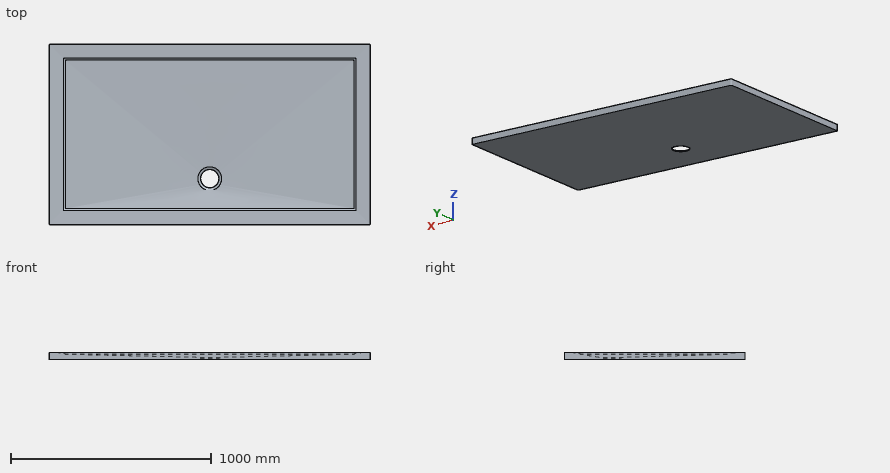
import cadquery as cq
import math

LENGTH = 1600.0
WIDTH = 900.0
HEIGHT = 35.0
EDGE_FILLET = 3.0
BODY_CORNER_RADIUS = 4.5

RIM_INSET = 70.0
RIM_DROP = 2.0
WALL_RUN = 10.0
WALL_DROP = 7.0
RECESS_CORNER_RADIUS = 4.0

FLOOR_FALL = 15.0
SIDE_CREASE_Y = -50.0

DRAIN_Y = -220.0
DRAIN_SEAT_DIAMETER = 118.0
DRAIN_HOLE_DIAMETER = 90.0
DRAIN_SEAT_DEPTH = 6.0

CREASE_ANGLE = 33.0
CORNER_SPREAD = 0.4

FLOOR_INSET = RIM_INSET + WALL_RUN
RIM_INNER_Z = HEIGHT - RIM_DROP
FLOOR_EDGE_Z = RIM_INNER_Z - WALL_DROP
SEAT_TOP_Z = FLOOR_EDGE_Z - FLOOR_FALL
SEAT_BOTTOM_Z = SEAT_TOP_Z - DRAIN_SEAT_DEPTH


def make_body():
    """Plain slab with its upright corners and top edges rounded."""
    slab = cq.Workplane("XY").box(LENGTH, WIDTH, HEIGHT, centered=(True, True, False))
    return slab.edges("|Z").fillet(BODY_CORNER_RADIUS).faces(">Z").edges().fillet(EDGE_FILLET)


def make_outline(inset, z, corner_radius):
    """Rounded rectangle inset from the outer sides, at height z."""
    block = (
        cq.Workplane("XY", origin=(0, 0, z))
        .rect(LENGTH - 2 * inset, WIDTH - 2 * inset)
        .extrude(HEIGHT)
    )
    return block.edges("|Z").fillet(corner_radius).faces("<Z").wires().val()


def make_tapered_recess(top_outline, bottom_outline):
    """Recess tapering straight from one outline to the other."""
    return cq.Workplane(cq.Solid.makeLoft([top_outline, bottom_outline], True))


def drain_point(angle):
    """Point on the upper circle of the drain seat, angle in degrees."""
    radius = DRAIN_SEAT_DIAMETER / 2
    x = radius * math.cos(math.radians(angle))
    y = DRAIN_Y + radius * math.sin(math.radians(angle))
    return cq.Vector(x, y, SEAT_TOP_Z)


def make_drain_arc(start_angle, end_angle):
    """Stretch of the upper circle of the drain seat."""
    return cq.Edge.makeThreePointArc(
        drain_point(start_angle),
        drain_point((start_angle + end_angle) / 2),
        drain_point(end_angle),
    )


def make_corner_arc(x_sign, y_sign):
    """Rounded corner of the floor outline, running counterclockwise."""
    center_x = x_sign * (LENGTH / 2 - FLOOR_INSET - RECESS_CORNER_RADIUS)
    center_y = y_sign * (WIDTH / 2 - FLOOR_INSET - RECESS_CORNER_RADIUS)
    diagonal = RECESS_CORNER_RADIUS * math.sqrt(0.5)
    on_x_side = cq.Vector(center_x + x_sign * RECESS_CORNER_RADIUS, center_y, FLOOR_EDGE_Z)
    middle = cq.Vector(center_x + x_sign * diagonal, center_y + y_sign * diagonal, FLOOR_EDGE_Z)
    on_y_side = cq.Vector(center_x, center_y + y_sign * RECESS_CORNER_RADIUS, FLOOR_EDGE_Z)
    if x_sign == y_sign:
        return cq.Edge.makeThreePointArc(on_x_side, middle, on_y_side)
    return cq.Edge.makeThreePointArc(on_y_side, middle, on_x_side)


def make_floor_recess():
    """Recess whose ruled sides run from the floor outline down to the drain circle."""
    half_x = LENGTH / 2 - FLOOR_INSET
    right_side_point = cq.Vector(half_x, SIDE_CREASE_Y, FLOOR_EDGE_Z)
    left_side_point = cq.Vector(-half_x, SIDE_CREASE_Y, FLOOR_EDGE_Z)
    corners = [make_corner_arc(*signs) for signs in ((1, 1), (-1, 1), (-1, -1), (1, -1))]
    back_right, back_left, front_left, front_right = corners
    outline = [
        cq.Edge.makeLine(right_side_point, back_right.startPoint()),
        back_right,
        cq.Edge.makeLine(back_right.endPoint(), back_left.startPoint()),
        back_left,
        cq.Edge.makeLine(back_left.endPoint(), left_side_point),
        cq.Edge.makeLine(left_side_point, front_left.startPoint()),
        front_left,
        cq.Edge.makeLine(front_left.endPoint(), front_right.startPoint()),
        front_right,
        cq.Edge.makeLine(front_right.endPoint(), right_side_point),
    ]
    inner = CREASE_ANGLE - CORNER_SPREAD / 2
    outer = CREASE_ANGLE + CORNER_SPREAD / 2
    angles = [0, inner, outer, 180 - outer, 180 - inner, 180]
    angles += [180 + inner, 180 + outer, 360 - outer, 360 - inner, 360]
    circle = [make_drain_arc(start, end) for start, end in zip(angles, angles[1:])]

    faces = [cq.Face.makeRuledSurface(side, arc) for side, arc in zip(outline, circle)]
    faces.append(cq.Face.makeFromWires(cq.Wire.assembleEdges(outline)))
    faces.append(cq.Face.makeFromWires(cq.Wire.assembleEdges(circle)))
    return cq.Workplane(cq.Solid.makeSolid(cq.Shell.makeShell(faces)))


def make_drain():
    """Conical seat opening upward, with the waste hole through the bottom."""
    seat = cq.Solid.makeCone(
        DRAIN_HOLE_DIAMETER / 2,
        DRAIN_SEAT_DIAMETER / 2,
        DRAIN_SEAT_DEPTH,
        cq.Vector(0, DRAIN_Y, SEAT_BOTTOM_Z),
    )
    hole = cq.Solid.makeCylinder(DRAIN_HOLE_DIAMETER / 2, SEAT_BOTTOM_Z, cq.Vector(0, DRAIN_Y, 0))
    return cq.Workplane(seat).union(cq.Workplane(hole))


rim_outer_outline = make_outline(EDGE_FILLET, HEIGHT, BODY_CORNER_RADIUS - EDGE_FILLET)
rim_inner_outline = make_outline(RIM_INSET, RIM_INNER_Z, RECESS_CORNER_RADIUS)
floor_outline = make_outline(FLOOR_INSET, FLOOR_EDGE_Z, RECESS_CORNER_RADIUS)

result = (
    make_body()
    .cut(make_tapered_recess(rim_outer_outline, rim_inner_outline))
    .cut(make_tapered_recess(rim_inner_outline, floor_outline))
    .cut(make_floor_recess())
    .cut(make_drain())
)